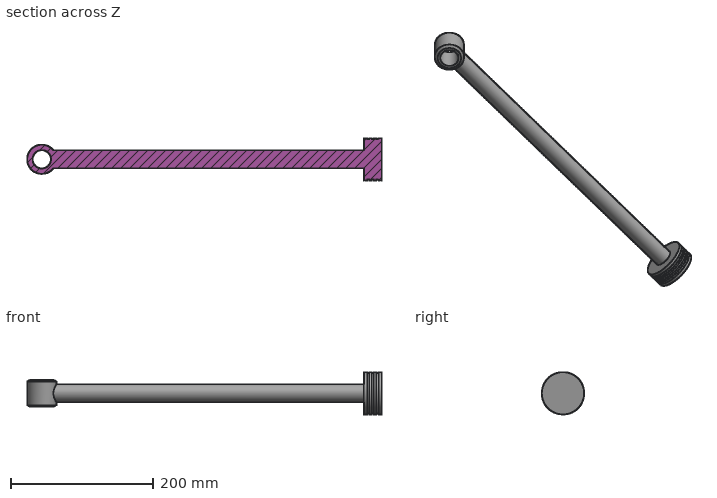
import cadquery as cq

overall_length = 499.5
head_diameter = 60.0
head_thickness = 25.5
rod_diameter = 25.5

eye_diameter = 41.5
eye_height = 38.0
eye_bore_diameter = 25.5
eye_chamfer_height = 2.5
eye_chamfer_width = 4.25

groove_count = 3
groove_radius = 1.6

eye_radius = eye_diameter / 2
eye_center_x = -overall_length / 2 + eye_radius
head_end_x = overall_length / 2
head_face_x = head_end_x - head_thickness
groove_pitch = head_thickness / (groove_count + 1)


def make_eye():
    """Upright cylinder with the outer rims chamfered."""
    half_height = eye_height / 2
    rim_radius = eye_radius - eye_chamfer_width
    shoulder_z = half_height - eye_chamfer_height
    profile = (
        cq.Workplane("XZ")
        .moveTo(0, -half_height)
        .lineTo(rim_radius, -half_height)
        .lineTo(eye_radius, -shoulder_z)
        .lineTo(eye_radius, shoulder_z)
        .lineTo(rim_radius, half_height)
        .lineTo(0, half_height)
        .close()
    )
    return profile.revolve(360, (0, 0, 0), (0, 1, 0)).translate((eye_center_x, 0, 0))


def make_rod():
    """Round bar from the eye's axis to the head."""
    rod_length = head_face_x - eye_center_x
    return (
        cq.Workplane("YZ", origin=(eye_center_x, 0, 0))
        .circle(rod_diameter / 2)
        .extrude(rod_length)
    )


def make_head():
    """Disc with evenly spaced half-round grooves about its rim."""
    head = (
        cq.Workplane("YZ", origin=(head_face_x, 0, 0))
        .circle(head_diameter / 2)
        .extrude(head_thickness)
    )
    for index in range(groove_count):
        groove_x = head_face_x + (index + 1) * groove_pitch
        groove_ring = cq.Workplane(
            cq.Solid.makeTorus(
                head_diameter / 2, groove_radius, cq.Vector(groove_x, 0, 0), cq.Vector(1, 0, 0)
            )
        )
        head = head.cut(groove_ring)
    return head


def make_bore():
    """Cutter for the hole through the eye."""
    return (
        cq.Workplane("XY", origin=(eye_center_x, 0, -eye_height / 2))
        .circle(eye_bore_diameter / 2)
        .extrude(eye_height)
    )


result = make_eye().union(make_rod()).union(make_head()).cut(make_bore())